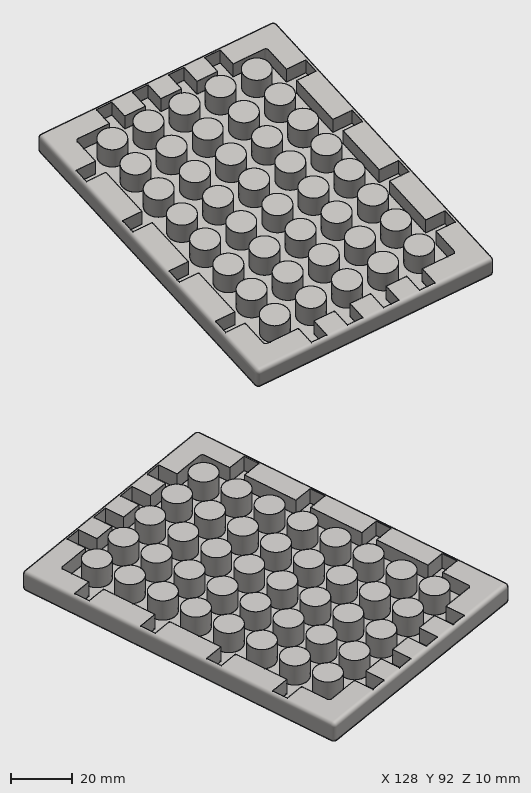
import cadquery as cq

plate_length = 128.0
plate_width = 92.0
plate_height = 8.0
edge_radius = 1.5

rim_width = 9.0
floor_thickness = 2.0
recess_length = plate_length - 2 * rim_width
recess_width = plate_width - 2 * rim_width
recess_depth = plate_height - floor_thickness
recess_corner_radius = 1.0

pin_columns = 8
pin_rows = 5
pin_pitch_x = 13.5
pin_pitch_y = 14.0
pin_diameter = 10.0
pin_projection = 2.0
pin_height = recess_depth + pin_projection

notch_width = 6.0
notch_span_x = plate_length - 2 * edge_radius
notch_span_y = plate_width - 2 * edge_radius
notch_columns = pin_columns // 2
notch_rows = pin_rows - 1


def make_plate():
    """Solid plate with every outer edge rounded."""
    plate = cq.Workplane("XY").box(
        plate_length, plate_width, plate_height, centered=(True, True, False)
    )
    return plate.edges().fillet(edge_radius)


def make_recess():
    """Rectangular pocket with rounded corners, from the floor to the plate top."""
    recess = (
        cq.Workplane("XY")
        .workplane(offset=floor_thickness)
        .rect(recess_length, recess_width)
        .extrude(recess_depth)
    )
    return recess.edges("|Z").fillet(recess_corner_radius)


def make_notches():
    """Full-length bars; each one cuts a pair of opposite notches in the rim."""
    floor = cq.Workplane("XY").workplane(offset=floor_thickness)
    bars_along_y = floor.rarray(2 * pin_pitch_x, 1, notch_columns, 1)
    bars_along_y = bars_along_y.rect(notch_width, notch_span_y).extrude(recess_depth)
    bars_along_x = floor.rarray(1, pin_pitch_y, 1, notch_rows)
    bars_along_x = bars_along_x.rect(notch_span_x, notch_width).extrude(recess_depth)
    return bars_along_y.union(bars_along_x)


def make_pins():
    """Grid of round pins that rise above the rim."""
    return (
        cq.Workplane("XY")
        .workplane(offset=floor_thickness)
        .rarray(pin_pitch_x, pin_pitch_y, pin_columns, pin_rows)
        .circle(pin_diameter / 2)
        .extrude(pin_height)
    )


result = make_plate().cut(make_recess()).cut(make_notches()).union(make_pins())